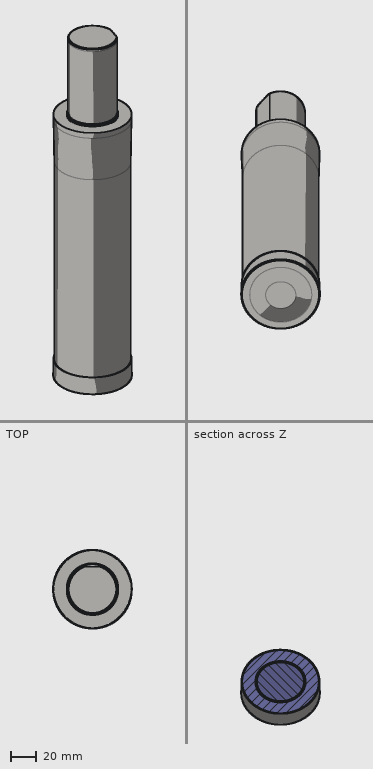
import cadquery as cq

total_height = 309.0

housing_top = 239.0
cap_band_bottom = 234.2
cap_bottom = 196.2
base_top = 16.5
base_bottom = 0.5
cap_diameter = 62.5
tube_diameter = 61.2
base_diameter = 63.0
base_top_diameter = 62.5
base_edge_chamfer = 1.0
foot_rim_diameter = 49.5
foot_face_diameter = 24.0

rod_diameter = 39.5
rod_tip_diameter = 37.7
rod_tip_edge_diameter = 39.2
rod_tip_edge_depth = 1.0
rod_tip_depth = 2.2
bore_diameter = 40.0
bore_mouth_diameter = 41.5
bore_mouth_depth = 1.5
bore_floor = base_top
rod_neck_height = 2.0
rod_neck_diameter = 37.7
rod_shoulder = housing_top + rod_neck_height
flat_offset = 18.0
flat_bottom = 243.5


def make_housing():
    """Turned cylinder body: foot, flared base, plain tube, tapered cap and rod bore."""
    outline = [
        (0, 0),
        (foot_face_diameter / 2, 0),
        (foot_rim_diameter / 2, base_bottom),
        (base_diameter / 2 - base_edge_chamfer, base_bottom),
        (base_diameter / 2, base_bottom + base_edge_chamfer),
        (base_top_diameter / 2, base_top),
        (tube_diameter / 2, base_top),
        (tube_diameter / 2, cap_bottom),
        (cap_diameter / 2, cap_band_bottom),
        (cap_diameter / 2, housing_top),
        (bore_mouth_diameter / 2, housing_top),
        (bore_diameter / 2, housing_top - bore_mouth_depth),
        (bore_diameter / 2, bore_floor),
        (0, bore_floor),
    ]
    return cq.Workplane("XZ").polyline(outline).close().revolve(360, (0, 0), (0, 1))


def make_rod():
    """Round rod with a narrow neck in the bore, a double-chamfered tip and a flat on its +Y side."""
    outline = [
        (0, bore_floor),
        (rod_neck_diameter / 2, bore_floor),
        (rod_neck_diameter / 2, housing_top),
        (rod_diameter / 2, rod_shoulder),
        (rod_diameter / 2, total_height - rod_tip_depth),
        (rod_tip_edge_diameter / 2, total_height - rod_tip_edge_depth),
        (rod_tip_diameter / 2, total_height),
        (0, total_height),
    ]
    rod = cq.Workplane("XZ").polyline(outline).close().revolve(360, (0, 0), (0, 1))
    flat = (
        cq.Workplane("XY", origin=(0, flat_offset, flat_bottom))
        .box(rod_diameter, rod_diameter, total_height, centered=(True, False, False))
    )
    return rod.cut(flat)


housing = make_housing()
rod = make_rod()
result = cq.Compound.makeCompound([housing.val(), rod.val()])